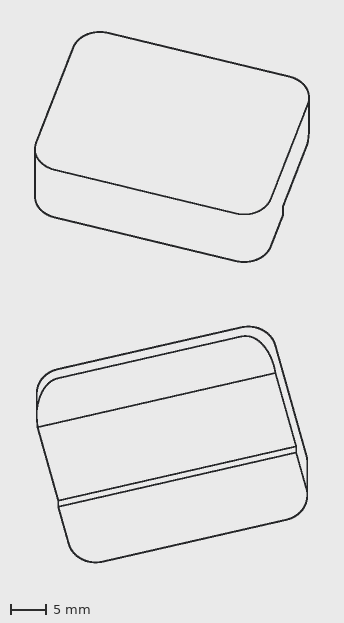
import cadquery as cq

length = 35.0
width = 26.0
height = 11.0
corner_radius = 4.0

foot_depth = 10.0
foot_height = 2.0
slope_depth = corner_radius
back_wall_height = 3.0

front_y = -width / 2
back_y = width / 2

profile = [
    (front_y, 0),
    (front_y + foot_depth, 0),
    (front_y + foot_depth, foot_height),
    (back_y - slope_depth, foot_height),
    (back_y, height - back_wall_height),
    (back_y, height),
    (front_y, height),
]
body = cq.Workplane("YZ").polyline(profile).close().extrude(length / 2, both=True)

outline = (
    cq.Workplane("XY")
    .rect(length, width)
    .extrude(height)
    .edges("|Z")
    .fillet(corner_radius)
)

result = body.intersect(outline)